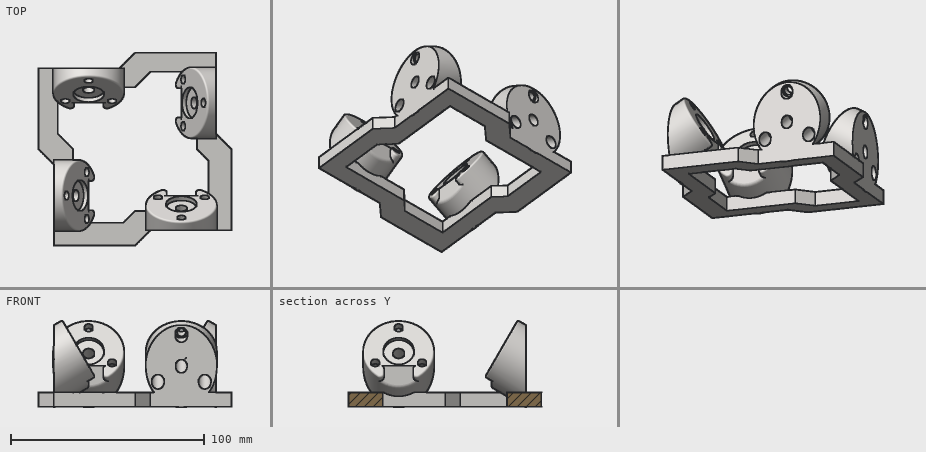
import cadquery as cq
import math

FRAME_HALF = 50.0
FRAME_HEIGHT = 7.5
MOUNT_PLANE = 42.0
STEP_INNER = 32.0
THIN_BAR_INNER = 40.0
WIDE_BAR_INNER = 38.0
OUTER_STEP = FRAME_HALF - MOUNT_PLANE
SIDE_COUNT = 4

TILT = 30.0
BLOCK_DIAMETER = 37.0
BLOCK_RADIUS = BLOCK_DIAMETER / 2
SHORT_SIDE = 5.0
AXIS_LENGTH = SHORT_SIDE + BLOCK_RADIUS * math.tan(math.radians(TILT))
BLOCK_OFFSET = 24.0
BLOCK_CENTRE_HEIGHT = 21.0
AXIS_DIRECTION = cq.Vector(0, math.cos(math.radians(TILT)), math.sin(math.radians(TILT)))
FACE_EDGE_RADIUS = 1.0
NOTCH_MOUTH_RADIUS = 2.0

POCKET_DIAMETER = 16.0
POCKET_DEPTH = 2.5
CENTRE_HOLE_DIAMETER = 6.0
SCREW_HOLE_DIAMETER = 4.5
SCREW_HEAD_DIAMETER = 6.5
SCREW_SEAT_THICKNESS = 5.0
SCREW_CIRCLE_RADIUS = 14.0
SCREW_COUNT = 3
NOTCH_WIDTH = 15.0
NOTCH_FLOOR = 18.0

OVERCUT = 60.0
TOLERANCE = 1e-4


def turned(x, y, quarter_turns):
    """Turn a point about the centre by whole quarter turns."""
    for _ in range(quarter_turns):
        x, y = -y, x
    return x, y


def make_frame():
    """Stepped ring with two wide and two thin bars."""
    bar_inners = [WIDE_BAR_INNER, WIDE_BAR_INNER, THIN_BAR_INNER, THIN_BAR_INNER]
    outer = []
    inner = []
    for turn, bar_inner in enumerate(bar_inners):
        inner_step = bar_inner - STEP_INNER
        outer += [
            turned(-MOUNT_PLANE, -FRAME_HALF, turn),
            turned(0, -FRAME_HALF, turn),
            turned(OUTER_STEP, -MOUNT_PLANE, turn),
        ]
        inner += [
            turned(-STEP_INNER, -bar_inner, turn),
            turned(-inner_step, -bar_inner, turn),
            turned(0, -STEP_INNER, turn),
        ]
    ring = cq.Workplane("XY").polyline(outer).close().extrude(FRAME_HEIGHT)
    opening = cq.Workplane("XY").polyline(inner).close().extrude(FRAME_HEIGHT)
    return ring.cut(opening)


def axial_cylinder(diameter, start, end, x=0, y=0):
    """Cylinder along the block axis, before the block is tilted."""
    return cq.Workplane("XY", origin=(x, y, start)).circle(diameter / 2).extrude(end - start)


def tilt(shape):
    """Swing the block axis from vertical to face +Y and upward."""
    return shape.rotate((0, 0, 0), (1, 0, 0), TILT - 90)


def lies_on_notch_floor(edge):
    """True for edges lying in the upright plane at the bottom of the notch."""
    box = edge.BoundingBox()
    return box.ylen < TOLERANCE and abs(box.ymin - NOTCH_FLOOR) < TOLERANCE


def round_edges(block, radius, keep):
    """Round every edge for which keep(edge) is true."""
    chosen = [edge for edge in block.edges().vals() if keep(edge)]
    return block.newObject(chosen).fillet(radius)


def is_notch_mouth(edge):
    """True where the notch walls and floor break out through the cylinder side."""
    box = edge.BoundingBox()
    along_axis = abs(box.zlen - box.ylen * math.tan(math.radians(TILT))) < TOLERANCE
    wall_mouth = along_axis and box.ymin > NOTCH_FLOOR - TOLERANCE and box.ylen > TOLERANCE
    floor_mouth = lies_on_notch_floor(edge) and edge.geomType() != "LINE"
    return wall_mouth or floor_mouth


def is_face_edge(edge):
    """True for the outline of the tilted face, apart from the top of the notch floor."""
    points = [edge.startPoint(), edge.Center(), edge.endPoint()]
    in_face = all(abs(point.dot(AXIS_DIRECTION) - AXIS_LENGTH) < TOLERANCE for point in points)
    return in_face and not lies_on_notch_floor(edge)


def make_block():
    """Tilted cylinder with an upright back at Y = 0, a notched face and its holes."""
    block = tilt(axial_cylinder(BLOCK_DIAMETER, -OVERCUT, AXIS_LENGTH))
    behind = cq.Workplane("XY").box(2 * OVERCUT, 2 * OVERCUT, 4 * OVERCUT).translate((0, -OVERCUT, 0))
    notch = cq.Workplane("XY").box(NOTCH_WIDTH, OVERCUT, 2 * OVERCUT)
    block = block.cut(behind).cut(notch.translate((0, NOTCH_FLOOR + OVERCUT / 2, 0)))
    block = round_edges(block, NOTCH_MOUTH_RADIUS, is_notch_mouth)
    block = round_edges(block, FACE_EDGE_RADIUS, is_face_edge)

    block = block.cut(tilt(axial_cylinder(POCKET_DIAMETER, AXIS_LENGTH - POCKET_DEPTH, OVERCUT)))
    block = block.cut(tilt(axial_cylinder(CENTRE_HOLE_DIAMETER, -OVERCUT, OVERCUT)))

    seat = AXIS_LENGTH - SCREW_SEAT_THICKNESS
    for index in range(SCREW_COUNT):
        angle = math.radians(360 / SCREW_COUNT * index - 90)
        x = SCREW_CIRCLE_RADIUS * math.cos(angle)
        y = SCREW_CIRCLE_RADIUS * math.sin(angle)
        block = block.cut(tilt(axial_cylinder(SCREW_HOLE_DIAMETER, -OVERCUT, OVERCUT, x, y)))
        block = block.cut(tilt(axial_cylinder(SCREW_HEAD_DIAMETER, -OVERCUT, seat, x, y)))
    return block


result = make_frame()
placed_block = make_block().translate((BLOCK_OFFSET, -MOUNT_PLANE, BLOCK_CENTRE_HEIGHT))
for turn in range(SIDE_COUNT):
    result = result.union(placed_block.rotate((0, 0, 0), (0, 0, 1), 360 / SIDE_COUNT * turn))